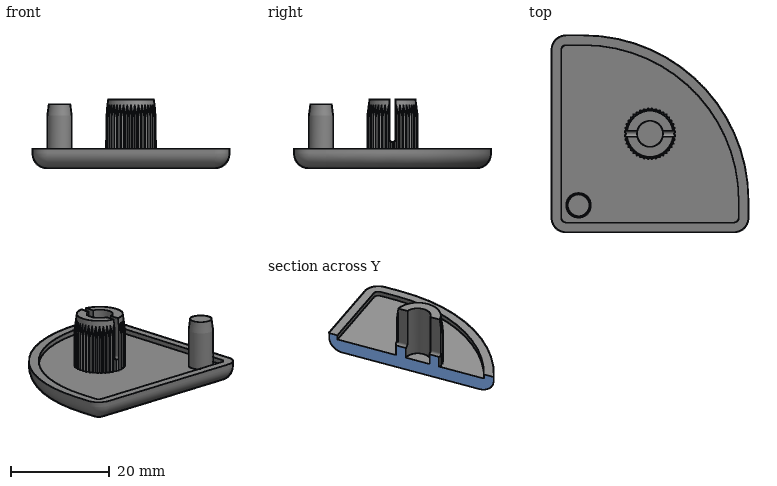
import cadquery as cq
import math

plate_side = 40.0
plate_height = 4.0
corner_radius = 3.0
arc_radius = 33.5
bottom_radius = corner_radius
rim_width = 2.0
recess_depth = 1.0
floor_z = plate_height - recess_depth

knob_center = plate_side / 2
knob_top = 14.0
tooth_count = 40
tip_radius = 5.15
root_radius = 4.85
knob_top_radius = 4.7
taper_height = 3.5
bore_radius = 2.65
slot_width = 1.2
slot_bottom = 5.35

pin_diameter = 5.0
pin_radius = pin_diameter / 2
pin_center = corner_radius + pin_radius
pin_top = 13.0
pin_top_radius = 2.2
pin_taper_height = 2.3


def quarter_outline(inset):
    """Rounded quarter sector, moved inwards by `inset`, lying on z = 0."""
    near = inset
    far = plate_side - inset
    arc_center = plate_side - arc_radius
    arc_mid = arc_center + (arc_radius - inset) * math.sqrt(0.5)
    corner = corner_radius - inset
    corner_mid = corner * (1 - math.sqrt(0.5))
    return (
        cq.Workplane("XY")
        .moveTo(near + corner, near)
        .lineTo(far - corner, near)
        .threePointArc((far - corner_mid, near + corner_mid), (far, near + corner))
        .lineTo(far, arc_center)
        .threePointArc((arc_mid, arc_mid), (arc_center, far))
        .lineTo(near + corner, far)
        .threePointArc((near + corner_mid, far - corner_mid), (near, far - corner))
        .lineTo(near, near + corner)
        .threePointArc((near + corner_mid, near + corner_mid), (near + corner, near))
        .close()
    )


def make_plate():
    body = quarter_outline(0).extrude(plate_height).faces("<Z").edges().fillet(bottom_radius)
    recess = quarter_outline(rim_width).extrude(recess_depth).translate((0, 0, floor_z))
    return body.cut(recess)


def tapered_post(radius, top_radius, top, taper):
    """Round post standing on the recess floor, with a conical upper end."""
    return (
        cq.Workplane("XZ")
        .moveTo(0, floor_z)
        .lineTo(radius, floor_z)
        .lineTo(radius, top - taper)
        .lineTo(top_radius, top)
        .lineTo(0, top)
        .close()
        .revolve(360, (0, 0), (0, 1))
    )


def serrated_column():
    """Column with V-shaped teeth; a root lies on the +X axis."""
    half_pitch = math.pi / tooth_count
    points = []
    for step in range(2 * tooth_count):
        radius = tip_radius if step % 2 else root_radius
        angle = step * half_pitch
        points.append((radius * math.cos(angle), radius * math.sin(angle)))
    column = cq.Workplane("XY").polyline(points).close().extrude(knob_top - floor_z)
    return column.translate((0, 0, floor_z))


def knob_slot():
    """Slot along X with a half-round bottom, open at the top."""
    half_width = slot_width / 2
    return (
        cq.Workplane("YZ")
        .moveTo(-half_width, knob_top)
        .lineTo(-half_width, slot_bottom + half_width)
        .threePointArc((0, slot_bottom), (half_width, slot_bottom + half_width))
        .lineTo(half_width, knob_top)
        .close()
        .extrude(tip_radius, both=True)
    )


def make_knob():
    knob = serrated_column().intersect(
        tapered_post(tip_radius, knob_top_radius, knob_top, taper_height)
    )
    bore = cq.Workplane("XY", origin=(0, 0, floor_z)).circle(bore_radius).extrude(knob_top - floor_z)
    return knob.cut(bore).cut(knob_slot()).translate((knob_center, knob_center, 0))


def make_pin():
    pin = tapered_post(pin_radius, pin_top_radius, pin_top, pin_taper_height)
    return pin.translate((pin_center, pin_center, 0))


result = make_plate().union(make_knob()).union(make_pin())